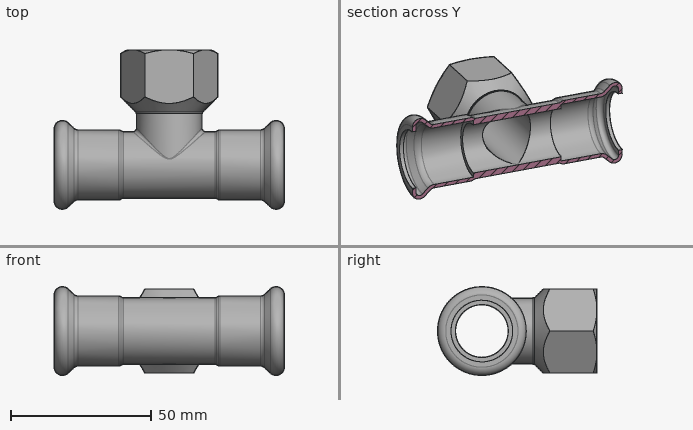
import cadquery as cq
import math

run_length = 82.0
run_diameter = 23.8
run_bore = 18.7
socket_diameter = 25.0
socket_bore = 22.0
socket_wall = (socket_diameter - socket_bore) / 2
socket_depth = 23.9

bead_diameter = 31.65
bead_radius = 2.95
bead_angle = math.radians(43)
throat_radius = 2.05

shoulder_length = 1.2
shoulder_blend = 1.2

branch_diameter = 23.4
branch_blend = 1.2
nut_end = 41.0
nut_start = 18.8
nut_collar_diameter = 23.8
nut_collar_length = 0.5
nut_across_flats = 30.0
nut_corner_radius = nut_across_flats / math.sqrt(3)
nut_end_angle = math.radians(30)
nut_end_radius = nut_across_flats / 2
nut_end_drop = (nut_corner_radius - nut_end_radius) * math.tan(nut_end_angle)

half_length = run_length / 2
bead_center_radius = bead_diameter / 2 - bead_radius


def on_circle(center, radius, angle):
    return (center[0] + radius * math.cos(angle), center[1] + radius * math.sin(angle))


def bead_and_throat(profile, inset):
    """Trace the bead, its cone and the throat, inset into the wall; start at the bead's end face."""
    bead = bead_radius - inset
    throat = throat_radius + inset
    bead_center = (bead_radius - half_length, bead_center_radius)
    throat_rise = socket_diameter / 2 + throat_radius - bead_center_radius
    across_cone = bead_radius + throat_radius
    center_gap = (across_cone - throat_rise * math.cos(bead_angle)) / math.sin(bead_angle)
    throat_center = (bead_center[0] + center_gap, bead_center[1] + throat_rise)
    tangent = math.pi / 2 - bead_angle
    bead_middle = (math.pi + tangent) / 2
    throat_start = math.pi + tangent
    throat_end = 1.5 * math.pi
    return (
        profile.threePointArc(on_circle(bead_center, bead, bead_middle), on_circle(bead_center, bead, tangent))
        .lineTo(*on_circle(throat_center, throat, throat_start))
        .threePointArc(
            on_circle(throat_center, throat, (throat_start + throat_end) / 2),
            on_circle(throat_center, throat, throat_end),
        )
    )


def revolve_about_x(profile):
    return profile.close().revolve(360, (0, 0, 0), (1, 0, 0))


def run_outside_half():
    """Solid envelope of the -X half of the run."""
    profile = cq.Workplane("XY").moveTo(-half_length, 0).lineTo(-half_length, bead_center_radius)
    profile = bead_and_throat(profile, 0)
    shoulder_middle = socket_depth - half_length
    drop = (socket_diameter - run_diameter) / 2
    slope = math.atan2(drop, shoulder_length)
    setback = shoulder_blend * math.tan(slope / 2)
    start = (shoulder_middle - shoulder_length / 2, socket_diameter / 2)
    end = (shoulder_middle + shoulder_length / 2, run_diameter / 2)
    along = (setback * math.cos(slope), setback * math.sin(slope))
    profile = (
        profile.lineTo(start[0] - setback, start[1])
        .tangentArcPoint((start[0] + along[0], start[1] - along[1]), relative=False)
        .lineTo(end[0] - along[0], end[1] + along[1])
        .tangentArcPoint((end[0] + setback, end[1]), relative=False)
        .lineTo(0, run_diameter / 2)
        .lineTo(0, 0)
    )
    return revolve_about_x(profile)


def run_inside_half():
    """Space inside the -X half: mouth, seal groove, socket, tube stop and bore."""
    profile = (
        cq.Workplane("XY")
        .moveTo(-half_length, 0)
        .lineTo(-half_length, socket_bore / 2)
        .lineTo(socket_wall - half_length, socket_bore / 2)
        .lineTo(socket_wall - half_length, bead_center_radius)
    )
    profile = (
        bead_and_throat(profile, socket_wall)
        .lineTo(socket_depth - half_length, socket_bore / 2)
        .lineTo(socket_depth - half_length, run_bore / 2)
        .lineTo(0, run_bore / 2)
        .lineTo(0, 0)
    )
    return revolve_about_x(profile)


def mirror_ends(half):
    return half.union(half.mirror("YZ"))


def cylinder_along_y(diameter, start, end):
    return cq.Workplane("XZ", origin=(0, start, 0)).circle(diameter / 2).extrude(start - end)


def nut():
    """Hexagon with corners on X, turned to a cone at both ends, and a thin collar below it."""
    hexagon = (
        cq.Workplane("XZ", origin=(0, nut_start, 0))
        .polygon(6, 2 * nut_corner_radius)
        .extrude(nut_start - nut_end)
    )
    collar_radius = nut_collar_diameter / 2
    turned = (
        cq.Workplane("XY")
        .moveTo(0, nut_start)
        .lineTo(collar_radius, nut_start)
        .lineTo(nut_corner_radius, nut_start + nut_corner_radius - collar_radius)
        .lineTo(nut_corner_radius, nut_end - nut_end_drop)
        .lineTo(nut_end_radius, nut_end)
        .lineTo(0, nut_end)
        .close()
        .revolve(360, (0, 0, 0), (0, 1, 0))
    )
    collar = cylinder_along_y(nut_collar_diameter, nut_start - nut_collar_length, nut_start)
    return hexagon.intersect(turned).union(collar)


body = mirror_ends(run_outside_half()).union(cylinder_along_y(branch_diameter, 0, nut_start))
seam_zone = cq.selectors.BoxSelector(
    (-run_diameter / 2, 0, -run_diameter / 2),
    (run_diameter / 2, run_diameter / 2 + branch_blend, run_diameter / 2),
    boundingbox=True,
)
body = body.edges(seam_zone).fillet(branch_blend)
body = body.union(nut())

result = body.cut(mirror_ends(run_inside_half())).cut(cylinder_along_y(run_bore, 0, nut_end))